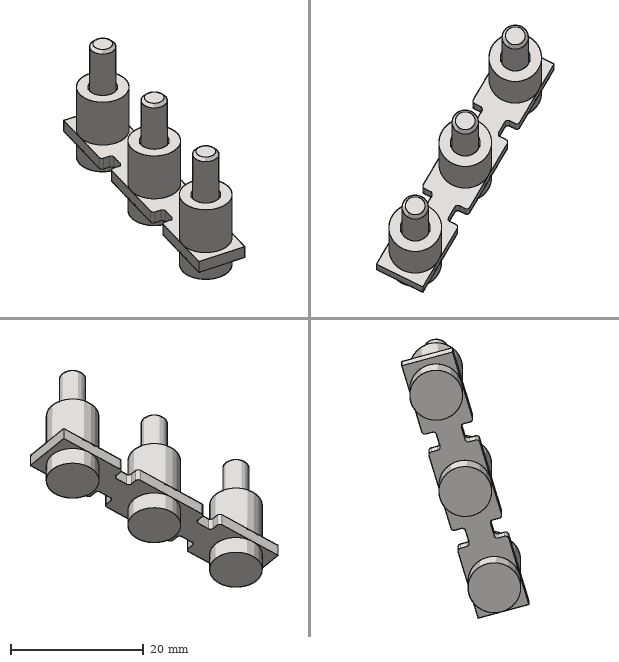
import cadquery as cq

STATION_COUNT = 3
STATION_PITCH = 16.0

BAR_LENGTH = 42.0
BAR_WIDTH = 8.0
BAR_THICKNESS = 2.0

NOTCH_WIDTH = 3.0
NOTCH_DEPTH = 2.0
NOTCH_CORNER_RADIUS = 0.5

FOOT_DIAMETER = BAR_WIDTH
FOOT_HEIGHT = 3.0
SLEEVE_DIAMETER = BAR_WIDTH
SLEEVE_BORE_DIAMETER = 4.5
SLEEVE_HEIGHT = 8.0
STUD_DIAMETER = 4.0
STUD_PROJECTION = 8.02
STUD_TIP_CHAMFER = 0.5

BAR_BOTTOM = FOOT_HEIGHT
BAR_TOP = BAR_BOTTOM + BAR_THICKNESS
STUD_HEIGHT = SLEEVE_HEIGHT + STUD_PROJECTION


def centred_row(count):
    """X positions of a row at the station pitch, centred on X = 0."""
    return [(i - (count - 1) / 2) * STATION_PITCH for i in range(count)]


def cylinder(diameter, height, x, bottom):
    return cq.Workplane("XY", origin=(x, 0, bottom)).circle(diameter / 2).extrude(height)


def make_bar():
    """Flat bar with facing pairs of notches, rounded at all notch corners."""
    base = cq.Workplane("XY", origin=(0, 0, BAR_BOTTOM))
    bar = base.rect(BAR_LENGTH, BAR_WIDTH).extrude(BAR_THICKNESS)
    notch_centres = [
        (x, side * BAR_WIDTH / 2)
        for x in centred_row(STATION_COUNT - 1)
        for side in (-1, 1)
    ]
    notches = (
        cq.Workplane("XY", origin=(0, 0, BAR_BOTTOM))
        .pushPoints(notch_centres)
        .rect(NOTCH_WIDTH, 2 * NOTCH_DEPTH)
        .extrude(BAR_THICKNESS)
    )
    bar = bar.cut(notches)
    return bar.edges("|Z").edges("not (<X or >X)").fillet(NOTCH_CORNER_RADIUS)


def make_foot(x):
    """Plain disc under the bar."""
    return cylinder(FOOT_DIAMETER, FOOT_HEIGHT, x, 0)


def make_sleeve(x):
    """Tube standing on the bar, with clearance around the stud."""
    bore = cylinder(SLEEVE_BORE_DIAMETER, SLEEVE_HEIGHT, x, BAR_TOP)
    return cylinder(SLEEVE_DIAMETER, SLEEVE_HEIGHT, x, BAR_TOP).cut(bore)


def make_stud(x):
    """Round stud standing on the bar inside the sleeve, with a chamfered tip."""
    stud = cylinder(STUD_DIAMETER, STUD_HEIGHT, x, BAR_TOP)
    return stud.faces(">Z").edges().chamfer(STUD_TIP_CHAMFER)


bodies = [make_bar().val()]
for station_x in centred_row(STATION_COUNT):
    bodies.append(make_foot(station_x).val())
    bodies.append(make_sleeve(station_x).val())
    bodies.append(make_stud(station_x).val())

result = cq.Compound.makeCompound(bodies)